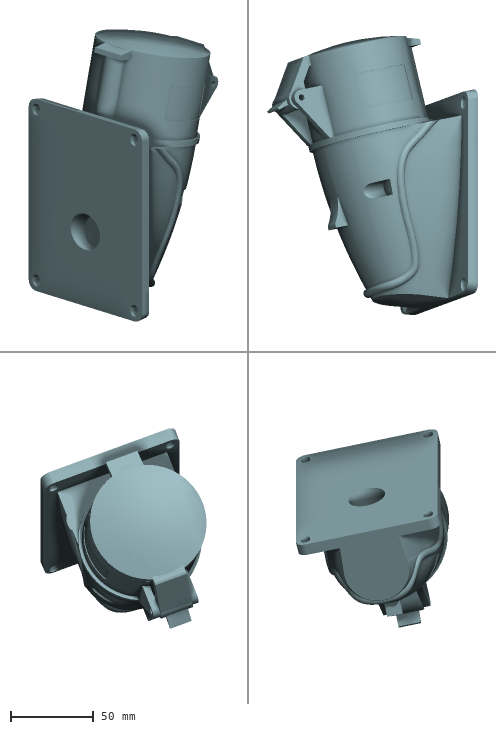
import cadquery as cq
import math

TILT = 15.0
COLLAR_CENTRE = (0, 50.8, 98.0)

PLATE_WIDTH = 88.0
PLATE_HEIGHT = 125.9
PLATE_THICK = 7.0
PLATE_CORNER_R = 6.0
SCREW_INSET_X = 6.0
SCREW_INSET_Z = 6.9
SCREW_SLOT_LENGTH = 7.4
SCREW_SLOT_WIDTH = 5.8
CABLE_HOLE_DIA = 22.8
CABLE_HOLE_DEPTH = 14.5
CABLE_HOLE_Z = 48.7

HOUSING_TOP_R = 35.8
TAPER_ARC_R = 328.7
HOUSING_LENGTH = 112.2
BLOCK_REACH = 96.2
BEAD_R = 2.7
BEAD_PROUD = 1.6

GRIP_R = 4.8
GRIP_AXIS_X = 27.3
GRIP_START_Y = 11.4
GRIP_Z = -34.0

HOOK_WIDTH = 9.6
HOOK_TOP_Z = -32.0
HOOK_BASE_Z = -49.9
HOOK_REACH = 40.1
HOOK_TIP_HEIGHT = 2.4

COLLAR_R = 37.5
COLLAR_HEIGHT = 3.7
BARREL_R = 35.5
BARREL_TOP_Z = 49.2
RIB_R = 6.9
RIB_CENTRE_Y = -34.6
COLLAR_LIP = 2.4
LABEL_WIDTH = 35.3
LABEL_BASE_Z = 15.5
LABEL_TOP_Z = 37.5
LABEL_DEPTH = 0.5

HINGE_Y = 48.1
HINGE_Z = 31.0
HINGE_HOLE_DIA = 3.8
LUG_END_R = 4.8
LUG_OUTER_X = 14.6
ARM_WIDTH = 20.5
EYE_R = 6.3

RIM_HEIGHT = 5.8
DOME_RISE = 4.5
TAB_REACH = 43.8
TAB_END_HEIGHT = 3.2
LEVER_WIDTH = 14.0

RIM_TOP_Z = BARREL_TOP_Z + RIM_HEIGHT
SIDES = (-1, 1)


def tilted(shape):
    """Move an upright shape to its place on the plate."""
    return shape.rotate((0, 0, 0), (1, 0, 0), -TILT).translate(COLLAR_CENTRE)


def cylinder(radius, z_low, z_high, y=0):
    return cq.Workplane("XY", origin=(0, y, z_low)).circle(radius).extrude(z_high - z_low)


def side_profile(x_middle=0):
    """A sketch plane whose own axes are Y and Z."""
    return cq.Workplane("YZ", origin=(x_middle, 0, 0))


def housing_radius(z):
    return HOUSING_TOP_R - TAPER_ARC_R + math.sqrt(TAPER_ARC_R**2 - z**2)


def make_plate():
    """Plate whose top edge and corners slope down towards the back with the tilt."""
    top_drop = PLATE_THICK * math.tan(math.radians(TILT))
    plate = (
        side_profile()
        .polyline([
            (0, 0),
            (PLATE_THICK, 0),
            (PLATE_THICK, PLATE_HEIGHT - top_drop),
            (0, PLATE_HEIGHT),
        ])
        .close()
        .extrude(PLATE_WIDTH / 2, both=True)
    )
    corners = plate.edges("<X or >X").edges("not(<Y or >Y)")
    return plate.newObject(corners.vals()).fillet(PLATE_CORNER_R)


def sloped_plane(x, z):
    """Plane through a point of the plate's front face, facing down the sloped holes."""
    slope = math.radians(TILT)
    direction = (0, math.cos(slope), -math.sin(slope))
    return cq.Workplane(cq.Plane(origin=(x, 0, z), xDir=(1, 0, 0), normal=direction))


def make_screw_slots():
    slots = cq.Workplane("XY")
    for side in SIDES:
        for z in (SCREW_INSET_Z, PLATE_HEIGHT - SCREW_INSET_Z):
            slot = (
                sloped_plane(side * (PLATE_WIDTH / 2 - SCREW_INSET_X), z)
                .slot2D(SCREW_SLOT_LENGTH, SCREW_SLOT_WIDTH, 90)
                .extrude(2 * PLATE_THICK, both=True)
            )
            slots = slots.add(slot)
    return slots.combine()


def make_cable_hole():
    """Blind sloped hole, lengthened outwards to open fully through the front face."""
    return (
        sloped_plane(0, CABLE_HOLE_Z)
        .workplane(offset=-PLATE_THICK)
        .circle(CABLE_HOLE_DIA / 2)
        .extrude(PLATE_THICK + CABLE_HOLE_DEPTH)
    )


def taper_half_outline():
    middle_z = -HOUSING_LENGTH / 2
    end_r = housing_radius(-HOUSING_LENGTH)
    return (
        cq.Workplane("XZ")
        .moveTo(0, 0)
        .lineTo(HOUSING_TOP_R, 0)
        .threePointArc((housing_radius(middle_z), middle_z), (end_r, -HOUSING_LENGTH))
        .lineTo(0, -HOUSING_LENGTH)
        .close()
    )


def make_taper():
    """Round back half and flat-sided front block that share one tapering outline."""
    round_part = taper_half_outline().revolve(360, (0, 0, 0), (0, 1, 0))
    half_block = taper_half_outline().extrude(BLOCK_REACH)
    return round_part.union(half_block).union(half_block.mirror("YZ"))


def make_bead():
    """Round bead that runs down one side, across the back and up the other side."""
    side_course = [
        (-32, 4.0), (-24, -0.3), (-12.8, -7.7), (-3.2, -14.0), (2.7, -22.8), (5.1, -33.4),
        (5.3, -51.3), (3.0, -77.8), (4.8, -85.3), (10.1, -89.1),
    ]
    back_z = -91.4
    inset = BEAD_R - BEAD_PROUD
    points = []
    for y, z in side_course:
        radius = housing_radius(z) - inset
        points.append(cq.Vector(math.sqrt(radius**2 - max(y, 0) ** 2), y, z))
    points.append(cq.Vector(0, housing_radius(back_z) - inset, back_z))
    across_back = cq.Vector(-1, 0, 0)
    path = cq.Edge.makeSpline(points, tangents=[points[1] - points[0], across_back])
    start = cq.Plane(origin=path.startPoint(), normal=path.tangentAt(0))
    half_bead = cq.Workplane(start).circle(BEAD_R).sweep(cq.Workplane(cq.Wire.assembleEdges([path])))
    below_collar = cq.Workplane("XY").box(
        HOUSING_LENGTH, HOUSING_LENGTH, HOUSING_LENGTH, centered=(True, True, False)
    )
    half_bead = half_bead.intersect(below_collar.translate((0, 0, -HOUSING_LENGTH)))
    return half_bead.union(half_bead.mirror("YZ"))


def make_hook():
    """Thumb hook with a hollow upper side."""
    tip_top_z = HOOK_BASE_Z + HOOK_TIP_HEIGHT
    hollow = (0.4 * HOUSING_TOP_R + 0.58 * HOOK_REACH, -43.3)
    return (
        side_profile()
        .moveTo(0, HOOK_BASE_Z)
        .lineTo(HOOK_REACH, HOOK_BASE_Z)
        .lineTo(HOOK_REACH, tip_top_z)
        .threePointArc(hollow, (housing_radius(HOOK_TOP_Z), HOOK_TOP_Z))
        .lineTo(0, HOOK_TOP_Z)
        .close()
        .extrude(HOOK_WIDTH / 2, both=True)
    )


def make_grip_slot(side):
    """Slot with a half-round floor, closed at its front end and open at the back."""
    length = HOUSING_TOP_R
    floor = (
        cq.Workplane("XZ", origin=(side * GRIP_AXIS_X, GRIP_START_Y, GRIP_Z))
        .circle(GRIP_R)
        .extrude(-length)
    )
    mouth = cq.Workplane("XY").box(length, length, 2 * GRIP_R).translate(
        (side * (GRIP_AXIS_X + length / 2), GRIP_START_Y + length / 2, GRIP_Z)
    )
    return floor.union(mouth)


def make_collar():
    round_part = cylinder(COLLAR_R, 0, COLLAR_HEIGHT)
    return round_part.union(cylinder(RIB_R + COLLAR_LIP, 0, COLLAR_HEIGHT, RIB_CENTRE_Y))


def make_barrel():
    barrel = cylinder(BARREL_R, 0, BARREL_TOP_Z)
    return barrel.union(cylinder(RIB_R, 0, BARREL_TOP_Z, RIB_CENTRE_Y))


def make_label_recesses():
    """Shallow curved label panels on both sides of the barrel."""
    height = LABEL_TOP_Z - LABEL_BASE_Z
    band = cq.Workplane("XY").box(3 * BARREL_R, LABEL_WIDTH, height)
    band = band.translate((0, 0, LABEL_BASE_Z + height / 2))
    return band.cut(cylinder(BARREL_R - LABEL_DEPTH, 0, BARREL_TOP_Z))


def make_lug(side):
    """Cheek that carries the hinge, sloping down to the collar."""
    arm_side = ARM_WIDTH / 2
    thickness = LUG_OUTER_X - arm_side
    slope = math.radians(40)
    tangent = (HINGE_Y + LUG_END_R * math.sin(slope), HINGE_Z - LUG_END_R * math.cos(slope))
    return (
        side_profile(side * (arm_side + thickness / 2))
        .moveTo(0, COLLAR_HEIGHT)
        .lineTo(BARREL_R, COLLAR_HEIGHT)
        .lineTo(*tangent)
        .threePointArc((HINGE_Y + LUG_END_R, HINGE_Z), (HINGE_Y, HINGE_Z + LUG_END_R))
        .lineTo(0, HINGE_Z + LUG_END_R)
        .close()
        .extrude(thickness / 2, both=True)
    )


def make_hinge_hole():
    hole = side_profile().center(HINGE_Y, HINGE_Z).circle(HINGE_HOLE_DIA / 2)
    return hole.extrude(2 * LUG_OUTER_X, both=True)


def make_housing():
    taper = make_taper().union(make_hook()).union(make_bead())
    for side in SIDES:
        taper = taper.cut(make_grip_slot(side))
    barrel = make_barrel().cut(make_label_recesses())
    for side in SIDES:
        barrel = barrel.union(make_lug(side))
    body = tilted(taper.union(make_collar()).union(barrel).cut(make_hinge_hole()))
    room_size = 3 * PLATE_HEIGHT
    behind_plate = cq.Workplane("XY").box(
        room_size, room_size, room_size, centered=(True, False, False)
    )
    body = body.intersect(behind_plate.translate((0, PLATE_THICK, 0)))
    return body.union(make_plate()).cut(make_screw_slots()).cut(make_cable_hole())


def make_dome():
    dome_r = (BARREL_R**2 + DOME_RISE**2) / (2 * DOME_RISE)
    middle_y = BARREL_R / 2
    middle_z = RIM_TOP_Z + DOME_RISE - dome_r + math.sqrt(dome_r**2 - middle_y**2)
    return (
        cq.Workplane("XZ")
        .moveTo(0, BARREL_TOP_Z)
        .lineTo(BARREL_R, BARREL_TOP_Z)
        .lineTo(BARREL_R, RIM_TOP_Z)
        .threePointArc((middle_y, middle_z), (0, RIM_TOP_Z + DOME_RISE))
        .close()
        .revolve(360, (0, 0, 0), (0, 1, 0))
    )


def make_tab():
    """Tab over the key rib, thinner towards its end."""
    root_y = -math.sqrt(BARREL_R**2 - (ARM_WIDTH / 2) ** 2)
    return (
        side_profile()
        .polyline([
            (0, BARREL_TOP_Z),
            (0, RIM_TOP_Z),
            (root_y, RIM_TOP_Z),
            (-TAB_REACH, BARREL_TOP_Z + TAB_END_HEIGHT),
            (-TAB_REACH, BARREL_TOP_Z),
        ])
        .close()
        .extrude(ARM_WIDTH / 2, both=True)
    )


def make_arm():
    """Bent arm from the rim down to the hinge eye."""
    arm = (
        side_profile()
        .polyline([
            (0, RIM_TOP_Z),
            (36.5, RIM_TOP_Z + 0.5),
            (37.8, RIM_TOP_Z + 0.2),
            (HINGE_Y + 0.93 * EYE_R, HINGE_Z + 0.37 * EYE_R),
            (HINGE_Y, HINGE_Z),
            (HINGE_Y - EYE_R, HINGE_Z),
            (41.7, 40.5),
            (BARREL_R, BARREL_TOP_Z),
            (0, BARREL_TOP_Z),
        ])
        .close()
        .extrude(ARM_WIDTH / 2, both=True)
    )
    eye = side_profile().center(HINGE_Y, HINGE_Z).circle(EYE_R).extrude(ARM_WIDTH / 2, both=True)
    return arm.union(eye)


def make_lever():
    """Release lever, thinner towards its tip."""
    return (
        side_profile()
        .polyline([(HINGE_Y, 32.5), (54.2, 32.0), (61.7, 28.2), (60.8, 27.0), (54.2, 28.7), (HINGE_Y, 28.7)])
        .close()
        .extrude(LEVER_WIDTH / 2, both=True)
    )


def make_lid():
    lid = make_dome().union(make_tab()).union(make_arm()).union(make_lever())
    return tilted(lid.cut(make_hinge_hole()))


housing = make_housing()
lid = make_lid()
result = cq.Compound.makeCompound([housing.val(), lid.val()])